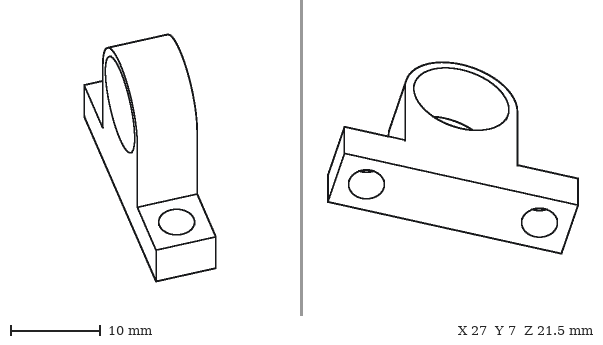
import cadquery as cq

base_length = 27.0
depth = 7.0
base_height = 5.0

total_height = 21.5
upright_width = 13.0
bore_diameter = 11.0
top_radius = upright_width / 2
bore_height = total_height - top_radius

mount_hole_diameter = 4.0
mount_hole_offset = (base_length + upright_width) / 4


def make_base():
    """Rectangular bar resting on Z = 0, centred in X and Y."""
    return cq.Workplane("XY").box(base_length, depth, base_height, centered=(True, True, False))


def make_upright():
    """Round-topped plate rising from the bottom of the base."""
    return (
        cq.Workplane("XZ", origin=(0, depth / 2, 0))
        .moveTo(-top_radius, 0)
        .lineTo(top_radius, 0)
        .lineTo(top_radius, bore_height)
        .threePointArc((0, total_height), (-top_radius, bore_height))
        .close()
        .extrude(depth)
    )


def make_bore():
    """Cylinder along Y that passes through the upright."""
    return (
        cq.Workplane("XZ", origin=(0, depth / 2, 0))
        .center(0, bore_height)
        .circle(bore_diameter / 2)
        .extrude(depth)
    )


def make_mount_holes():
    """Two vertical cylinders that pass through the base."""
    return (
        cq.Workplane("XY")
        .pushPoints([(-mount_hole_offset, 0), (mount_hole_offset, 0)])
        .circle(mount_hole_diameter / 2)
        .extrude(base_height)
    )


result = make_base().union(make_upright()).cut(make_bore()).cut(make_mount_holes())